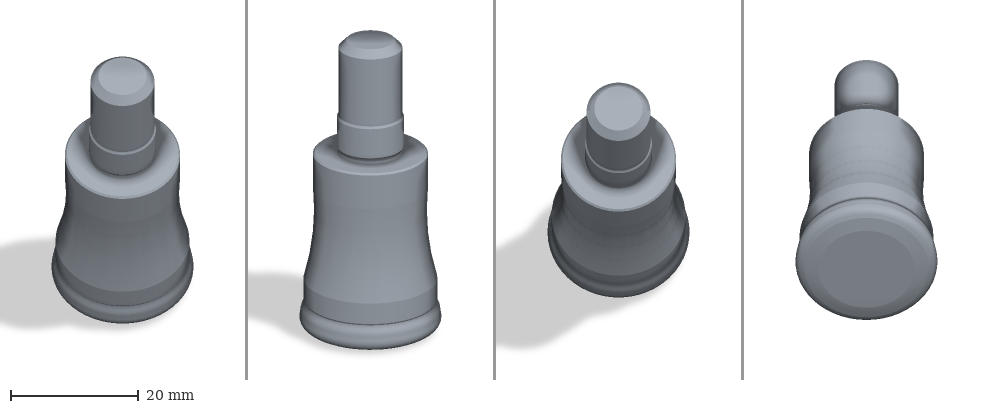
import cadquery as cq

total_height = 49.0

shank_diameter = 10.0
tip_chamfer = 1.22
shank_bottom_z = 36.4
collar_diameter = 10.5
collar_top_z = 36.0
collar_bottom_z = 31.05
collar_chamfer = 0.3
neck_diameter = 9.7
neck_top_z = 30.55
neck_bottom_z = 30.4
neck_flare_diameter = 10.3

sleeve_diameter = 18.0
sleeve_top_z = 30.05
sleeve_chamfer = 0.3
sleeve_bottom_z = 24.0
waist_diameter = 17.65
waist_z = 20.1
skirt_diameter = 20.9
skirt_top_z = 8.6
skirt_bottom_z = 5.15

foot_top_diameter = 20.6
foot_top_z = 4.85
shoulder_diameter = 21.45
shoulder_z = 3.95
upper_band_diameter = 21.7
upper_band_z = 3.68
middle_band_diameter = 21.85
middle_band_z = 3.4
lower_band_diameter = 22.0
lower_band_z = 2.8
rim_diameter = 22.15
rim_top_z = 2.35
rim_middle_diameter = 21.9
rim_middle_z = 1.4
rim_bottom_diameter = 20.6
rim_bottom_z = 0.75
underside_diameter = 19.4
underside_z = 0.45
sole_diameter = 15.0


def ring(diameter, z):
    """Half-profile point for a circle of the given diameter at height z."""
    return (diameter / 2, z)


def axis(z):
    """Half-profile point on the centre line at height z."""
    return (0, z)


def revolve_about_z(profile):
    """Turn a closed half profile into a solid of revolution."""
    return profile.close().revolve(360, (0, 0, 0), (0, 1, 0))


def make_body():
    """Stud and waisted grip, turned as one piece."""
    stud_and_sleeve = [
        axis(total_height),
        ring(shank_diameter - 2 * tip_chamfer, total_height),
        ring(shank_diameter, total_height - tip_chamfer),
        ring(shank_diameter, shank_bottom_z),
        ring(collar_diameter, collar_top_z),
        ring(collar_diameter, collar_bottom_z),
        ring(collar_diameter - 2 * collar_chamfer, collar_bottom_z - collar_chamfer),
        ring(neck_diameter, neck_top_z),
        ring(neck_diameter, neck_bottom_z),
        ring(neck_flare_diameter, sleeve_top_z),
        ring(sleeve_diameter - 2 * sleeve_chamfer, sleeve_top_z),
        ring(sleeve_diameter, sleeve_top_z - sleeve_chamfer),
        ring(sleeve_diameter, sleeve_bottom_z),
    ]
    profile = (
        cq.Workplane("XZ")
        .polyline(stud_and_sleeve)
        .threePointArc(ring(waist_diameter, waist_z), ring(skirt_diameter, skirt_top_z))
        .lineTo(*ring(skirt_diameter, skirt_bottom_z))
        .lineTo(*ring(foot_top_diameter, foot_top_z))
        .lineTo(*axis(foot_top_z))
    )
    return revolve_about_z(profile)


def make_foot():
    """Rounded foot that sits flat against the underside of the body."""
    tapers = [
        axis(foot_top_z),
        ring(foot_top_diameter, foot_top_z),
        ring(shoulder_diameter, shoulder_z),
        ring(upper_band_diameter, upper_band_z),
        ring(middle_band_diameter, middle_band_z),
        ring(lower_band_diameter, lower_band_z),
        ring(rim_diameter, rim_top_z),
    ]
    profile = (
        cq.Workplane("XZ")
        .polyline(tapers)
        .threePointArc(
            ring(rim_middle_diameter, rim_middle_z),
            ring(rim_bottom_diameter, rim_bottom_z),
        )
        .lineTo(*ring(underside_diameter, underside_z))
        .lineTo(*ring(sole_diameter, 0))
        .lineTo(*axis(0))
    )
    return revolve_about_z(profile)


body = make_body()
foot = make_foot()

result = cq.Compound.makeCompound([body.val(), foot.val()])